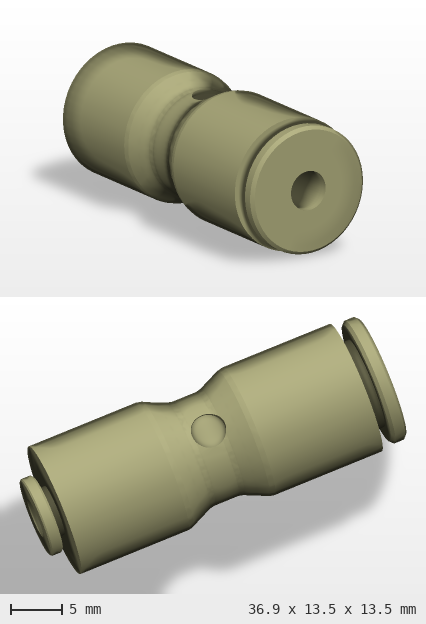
import cadquery as cq

total_length = 36.92
bore_radius = 2.0

small_flange_radius = 4.05
small_flange_width = 1.3
small_flange_outer_chamfer = 0.15
small_flange_inner_chamfer = 0.22
small_neck_radius = 2.6

large_flange_radius = 6.5
large_flange_width = 1.62
large_flange_chamfer = 0.35
large_neck_radius = 4.6

body_radius = 6.75
body_start = 2.03
body_end = 34.15
waist_center = (body_start + body_end) / 2
waist_radius = 5.5
waist_length = 3.1
cone_length = 2.77
waist_blend_radius = 1.35

recess_center = total_length / 2
recess_diameter = 3.47
recess_floor_height = 5.0


def disc(start, end, radius):
    """Solid cylinder along X from start to end."""
    return cq.Workplane("YZ", origin=(start, 0, 0)).circle(radius).extrude(end - start)


def waisted_body():
    """Cylinder with a conical waist, rounded where its faces meet."""
    waist_start = waist_center - waist_length / 2
    waist_end = waist_center + waist_length / 2
    cone_start = waist_start - cone_length
    cone_end = waist_end + cone_length
    body = (
        cq.Workplane("XY")
        .moveTo(body_start, 0)
        .lineTo(body_start, body_radius)
        .lineTo(cone_start, body_radius)
        .lineTo(waist_start, waist_radius)
        .lineTo(waist_end, waist_radius)
        .lineTo(cone_end, body_radius)
        .lineTo(body_end, body_radius)
        .lineTo(body_end, 0)
        .close()
        .revolve(360, (0, 0, 0), (1, 0, 0))
    )
    margin = 0.37
    waist_zone = cq.selectors.BoxSelector(
        (cone_start - margin, -body_radius - margin, -body_radius - margin),
        (cone_end + margin, body_radius + margin, body_radius + margin),
        boundingbox=True,
    )
    return body.edges("%CIRCLE").edges(waist_zone).fillet(waist_blend_radius)


def small_collar():
    flange = disc(0, small_flange_width, small_flange_radius)
    flange = flange.faces("<X").chamfer(small_flange_outer_chamfer)
    flange = flange.faces(">X").chamfer(small_flange_inner_chamfer)
    return flange.union(disc(small_flange_width, body_start, small_neck_radius))


def large_collar():
    flange_start = total_length - large_flange_width
    flange = disc(flange_start, total_length, large_flange_radius)
    flange = flange.faces("<X or >X").chamfer(large_flange_chamfer)
    return flange.union(disc(body_end, flange_start, large_neck_radius))


def recess_cutter():
    return (
        cq.Workplane("XY", origin=(recess_center, 0, recess_floor_height))
        .circle(recess_diameter / 2)
        .extrude(body_radius - recess_floor_height)
    )


result = waisted_body().union(small_collar()).union(large_collar())
result = result.cut(recess_cutter())
result = result.cut(disc(0, total_length, bore_radius))